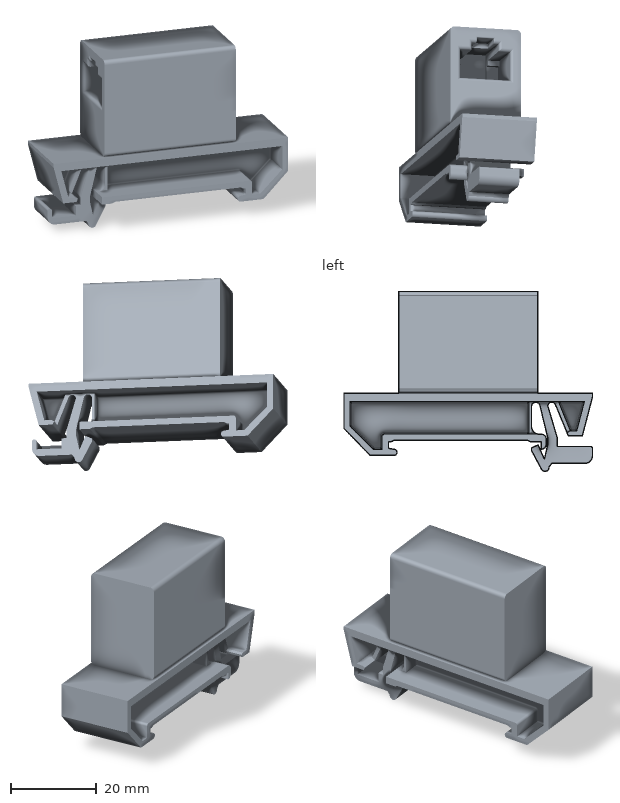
import cadquery as cq


FOOT_LENGTH = 58.0
FOOT_WIDTH = 18.0
HALF_LENGTH = FOOT_LENGTH / 2
HALF_WIDTH = FOOT_WIDTH / 2
PLATE_BOTTOM = -2.0
WEB_HALF = 0.75
POCKET_FILLET = 0.35

REAR_WALL_BOTTOM = -8.25
JAW_Y = 22.9
JAW_BOTTOM = -14.5
JAW_TIP_Y = 16.6
JAW_TIP_ROUND_Y = 17.1
JAW_TIP_TOP = -13.1
JAW_RECESS_Y = 18.55
JAW_RECESS_BOTTOM = -12.9
JAW_RECESS_FILLET = 0.3

BAR_TOP = -9.55
BAR_BOTTOM = -11.0
BAR_PAD_BOTTOM = -11.35
BAR_END_Y = -17.0
PAD_RAMP = 0.7
PAD_REAR_Y = 18.0
PAD_FRONT_Y = -14.5

HOOK_TIP_Z = -13.1
HOOK_RADIUS = 1.2
HOOK_FRONT_Y = BAR_END_Y - HOOK_RADIUS

GAP_REAR_Y = -14.8
GAP_FILLET = 1.75
WEDGE_TOP_Y = -20.0
WEDGE_BOTTOM_Y = -23.3
WEDGE_BOTTOM = -10.0
WEDGE_NOSE_Y = -26.6
FRONT_EDGE_BOTTOM = -0.85
WEDGE_FILLET = 0.35

POCKET_REAR_Y = 27.55
POCKET_SLOPE_TOP = -7.7
POCKET_JAW_REAR_Y = 22.1
POCKET_JAW_FRONT_Y = 20.1
POCKET_JAW_BOTTOM = -13.1
POCKET_STEP_RADIUS = 0.6
POCKET_FRONT_Y = -14.15
WEDGE_POCKET_BOTTOM = -8.9
WEDGE_POCKET = [
    (-21.05, PLATE_BOTTOM),
    (-27.1, PLATE_BOTTOM),
    (-25.3, WEDGE_POCKET_BOTTOM),
    (-23.85, WEDGE_POCKET_BOTTOM),
]
FLANGE_TOP_Y = -23.6
FLANGE_CORNER = (-22.95, -9.2)

CLIP_WIDTH = 9.7
CLIP_HALF = CLIP_WIDTH / 2
SLOT_TOP = -2.15
SLOT_ARC_Z = -2.95
LEG_REAR_TOP_Y = -16.7
LEG_FRONT_TOP_Y = -18.55
SLOT_FRONT_Y = -20.35
LEG_KNEE_Z = -10.4
LEG_REAR_Y = -18.5
LEG_FRONT_Y = -20.75
LEG_REAR_BOTTOM = -12.0
NOTCH_Y = -17.75
NOTCH_BOTTOM = -15.35
CATCH_TOP = (-16.3, -12.05)
CATCH_CORNER = (-14.75, -12.75)
CATCH_HEEL = (-14.75, -13.4)
CATCH_LOW = (-17.05, -17.75)
CATCH_CROWN = (-18.0, -18.25)
CATCH_FRONT = (-18.85, -17.2)
HANDLE_TOP = -12.4
HANDLE_BOTTOM = -16.4
HANDLE_REAR_Y = -19.5
HANDLE_TOP_FILLET = 0.5
HANDLE_BOTTOM_FILLET = 1.85
CHANNEL_X = -2.55
CHANNEL_FLOOR = -14.8
CHANNEL_REAR_Y = -22.05
LIP_CREST_Y = -HALF_LENGTH + HANDLE_TOP_FILLET
LIP_BACK_Y = LIP_CREST_Y + HANDLE_TOP_FILLET

HOUSING_WIDTH = 17.0
HOUSING_HEIGHT = 23.7
HOUSING_LENGTH = 32.5
HOUSING_FRONT_Y = -HOUSING_LENGTH / 2
HOUSING_FILLET = 1.0

PORT_FILLET = 0.7
PORT_HALF = 6.05
PORT_BOTTOM = HOUSING_HEIGHT - 12.05
PORT_TOP = HOUSING_HEIGHT - 5.2
SIDE_LEDGE_Z = HOUSING_HEIGHT - 6.45
KEY_HALF = 3.25
KEY_TOP = HOUSING_HEIGHT - 3.5
LATCH_HALF = 2.05
LATCH_TOP = HOUSING_HEIGHT - 2.3
LATCH_FILLET = 0.25
LEDGE_DEPTH = 10.45
SIDE_DEPTH = 11.6
KEY_DEPTH = 12.75
LATCH_DEPTH = 5.8


def extrude_x(profile, x_start, x_end):
    """Extrude a closed Y-Z profile between two X positions."""
    return profile.extrude(x_end - x_start).translate((x_start, 0, 0))


def polygon_x(points, x_start, x_end):
    return extrude_x(cq.Workplane("YZ").polyline(points).close(), x_start, x_end)


def mirrored(body):
    return body.mirror("YZ")


def foot_blank():
    """Outside of the foot with the gap for the spring leg, still solid inside."""
    profile = (
        cq.Workplane("YZ")
        .moveTo(HALF_LENGTH, 0)
        .lineTo(HALF_LENGTH, REAR_WALL_BOTTOM)
        .lineTo(JAW_Y, JAW_BOTTOM)
        .lineTo(JAW_TIP_ROUND_Y, JAW_BOTTOM)
        .threePointArc((JAW_TIP_Y, (JAW_BOTTOM + JAW_TIP_TOP) / 2), (JAW_TIP_ROUND_Y, JAW_TIP_TOP))
        .lineTo(JAW_RECESS_Y, JAW_RECESS_BOTTOM)
        .lineTo(JAW_RECESS_Y, BAR_PAD_BOTTOM)
        .lineTo(PAD_REAR_Y, BAR_PAD_BOTTOM)
        .lineTo(PAD_REAR_Y - PAD_RAMP, BAR_BOTTOM)
        .lineTo(PAD_FRONT_Y + PAD_RAMP, BAR_BOTTOM)
        .lineTo(PAD_FRONT_Y, BAR_PAD_BOTTOM)
        .lineTo(BAR_END_Y, BAR_PAD_BOTTOM)
        .lineTo(BAR_END_Y, BAR_TOP)
        .lineTo(GAP_REAR_Y, BAR_TOP)
        .lineTo(GAP_REAR_Y, PLATE_BOTTOM)
        .lineTo(WEDGE_TOP_Y, PLATE_BOTTOM)
        .lineTo(WEDGE_BOTTOM_Y, WEDGE_BOTTOM)
        .lineTo(WEDGE_NOSE_Y, WEDGE_BOTTOM)
        .lineTo(-HALF_LENGTH, FRONT_EDGE_BOTTOM)
        .lineTo(-HALF_LENGTH, 0)
        .close()
    )
    blank = extrude_x(profile, -HALF_WIDTH, HALF_WIDTH)

    def fillet_edge(body, y, z, radius):
        return body.edges(cq.NearestToPointSelector((0, y, z))).fillet(radius)

    blank = fillet_edge(blank, JAW_RECESS_Y, JAW_RECESS_BOTTOM, JAW_RECESS_FILLET)
    blank = fillet_edge(blank, GAP_REAR_Y, BAR_TOP, GAP_FILLET)
    return fillet_edge(blank, WEDGE_BOTTOM_Y, WEDGE_BOTTOM, WEDGE_FILLET)


def pocket(points, rounded_corner=None):
    """Pocket cutter from the -X face to the web, rounded where it meets the web."""
    cutter = polygon_x(points, -HALF_WIDTH, -WEB_HALF)
    if rounded_corner:
        y, z = rounded_corner
        corner = cq.NearestToPointSelector((-HALF_WIDTH, y, z))
        cutter = cutter.edges("|X").edges(corner).fillet(POCKET_STEP_RADIUS)
    return cutter.faces(">X").edges().fillet(POCKET_FILLET)


def rail_pocket():
    step = (POCKET_JAW_FRONT_Y, BAR_TOP)
    points = [
        (POCKET_REAR_Y, PLATE_BOTTOM),
        (POCKET_REAR_Y, POCKET_SLOPE_TOP),
        (POCKET_JAW_REAR_Y, POCKET_JAW_BOTTOM),
        (POCKET_JAW_FRONT_Y, POCKET_JAW_BOTTOM),
        step,
        (POCKET_FRONT_Y, BAR_TOP),
        (POCKET_FRONT_Y, PLATE_BOTTOM),
    ]
    return pocket(points, step)


def side_opening():
    """Joins both pockets to the gap on the -X side, outside the width of the clip."""
    points = [
        (POCKET_FRONT_Y, PLATE_BOTTOM),
        WEDGE_POCKET[0],
        WEDGE_POCKET[3],
        (FLANGE_TOP_Y, WEDGE_POCKET_BOTTOM),
        FLANGE_CORNER,
        (BAR_END_Y, BAR_TOP),
        (POCKET_FRONT_Y, BAR_TOP),
    ]
    return polygon_x(points, -HALF_WIDTH, -CLIP_HALF)


def bar_hook():
    profile = (
        cq.Workplane("YZ")
        .moveTo(BAR_END_Y, BAR_TOP)
        .radiusArc((HOOK_FRONT_Y, BAR_TOP - HOOK_RADIUS), -HOOK_RADIUS)
        .lineTo(HOOK_FRONT_Y, HOOK_TIP_Z + HOOK_RADIUS)
        .radiusArc((BAR_END_Y, HOOK_TIP_Z), -HOOK_RADIUS)
        .close()
    )
    return extrude_x(profile, -HALF_WIDTH, -CLIP_HALF)


def spring_clip():
    """Leg hanging from the top plate, with the catch and the release handle."""
    profile = (
        cq.Workplane("YZ")
        .moveTo(GAP_REAR_Y, PLATE_BOTTOM)
        .lineTo(GAP_REAR_Y, SLOT_ARC_Z)
        .threePointArc(((GAP_REAR_Y + LEG_REAR_TOP_Y) / 2, SLOT_TOP), (LEG_REAR_TOP_Y, SLOT_ARC_Z))
        .lineTo(LEG_REAR_Y, LEG_KNEE_Z)
        .lineTo(LEG_REAR_Y, LEG_REAR_BOTTOM)
        .lineTo(NOTCH_Y, NOTCH_BOTTOM)
        .lineTo(*CATCH_TOP)
        .lineTo(*CATCH_CORNER)
        .lineTo(*CATCH_HEEL)
        .lineTo(*CATCH_LOW)
        .threePointArc(CATCH_CROWN, CATCH_FRONT)
        .lineTo(HANDLE_REAR_Y, HANDLE_BOTTOM)
        .lineTo(-HALF_LENGTH, HANDLE_BOTTOM)
        .lineTo(-HALF_LENGTH, HANDLE_TOP)
        .lineTo(LEG_FRONT_Y, HANDLE_TOP)
        .lineTo(LEG_FRONT_Y, LEG_KNEE_Z)
        .lineTo(LEG_FRONT_TOP_Y, SLOT_ARC_Z)
        .threePointArc(((LEG_FRONT_TOP_Y + SLOT_FRONT_Y) / 2, SLOT_TOP), (SLOT_FRONT_Y, SLOT_ARC_Z))
        .lineTo(SLOT_FRONT_Y, PLATE_BOTTOM)
        .close()
    )
    clip = extrude_x(profile, -CLIP_HALF, CLIP_HALF)
    clip = clip.faces("<Y").edges(">Z").fillet(HANDLE_TOP_FILLET)
    clip = clip.faces("<Y").edges("<Z").fillet(HANDLE_BOTTOM_FILLET)
    channel_profile = (
        cq.Workplane("YZ")
        .moveTo(CHANNEL_REAR_Y, HANDLE_TOP)
        .lineTo(CHANNEL_REAR_Y, CHANNEL_FLOOR)
        .lineTo(LIP_BACK_Y, CHANNEL_FLOOR)
        .lineTo(LIP_BACK_Y, HANDLE_TOP - HANDLE_TOP_FILLET)
        .radiusArc((LIP_CREST_Y, HANDLE_TOP), -HANDLE_TOP_FILLET)
        .close()
    )
    channel = extrude_x(channel_profile, CHANNEL_X, CLIP_HALF)
    return clip.cut(channel)


def make_foot():
    foot = foot_blank()
    for cutter in (rail_pocket(), pocket(WEDGE_POCKET), side_opening()):
        foot = foot.cut(cutter).cut(mirrored(cutter))
    return foot.union(bar_hook()).union(spring_clip())


def port_block(half_width, bottom, top, depth):
    """Box cutter going in from the front face of the housing."""
    block = cq.Workplane("XY").box(2 * half_width, depth, top - bottom, centered=(True, False, False))
    return block.translate((0, HOUSING_FRONT_Y, bottom))


def round_rim(housing, half_width, bottom, top, radius):
    """Round the front edges of an opening that lie inside the given rectangle."""
    margin = 0.05
    rim = cq.selectors.BoxSelector(
        (-half_width - margin, HOUSING_FRONT_Y - margin, bottom - margin),
        (half_width + margin, HOUSING_FRONT_Y + margin, top + margin),
    )
    return housing.faces("<Y").edges(rim).fillet(radius)


def make_housing():
    housing = (
        cq.Workplane("XY")
        .box(HOUSING_WIDTH, HOUSING_LENGTH, HOUSING_HEIGHT, centered=(True, False, False))
        .translate((0, HOUSING_FRONT_Y, 0))
        .edges("|Y")
        .fillet(HOUSING_FILLET)
    )
    socket = (
        port_block(PORT_HALF, PORT_BOTTOM, PORT_TOP, LEDGE_DEPTH)
        .union(port_block(PORT_HALF, PORT_BOTTOM, SIDE_LEDGE_Z, SIDE_DEPTH))
        .union(port_block(KEY_HALF, PORT_BOTTOM, KEY_TOP, KEY_DEPTH))
    )
    housing = housing.cut(socket)
    housing = round_rim(housing, PORT_HALF, PORT_BOTTOM, KEY_TOP, PORT_FILLET)
    housing = housing.cut(port_block(LATCH_HALF, PORT_TOP, LATCH_TOP, LATCH_DEPTH))
    return round_rim(housing, LATCH_HALF, KEY_TOP + PORT_FILLET, LATCH_TOP, LATCH_FILLET)


foot = make_foot()
housing = make_housing()
result = cq.Compound.makeCompound([*foot.solids().vals(), *housing.solids().vals()])